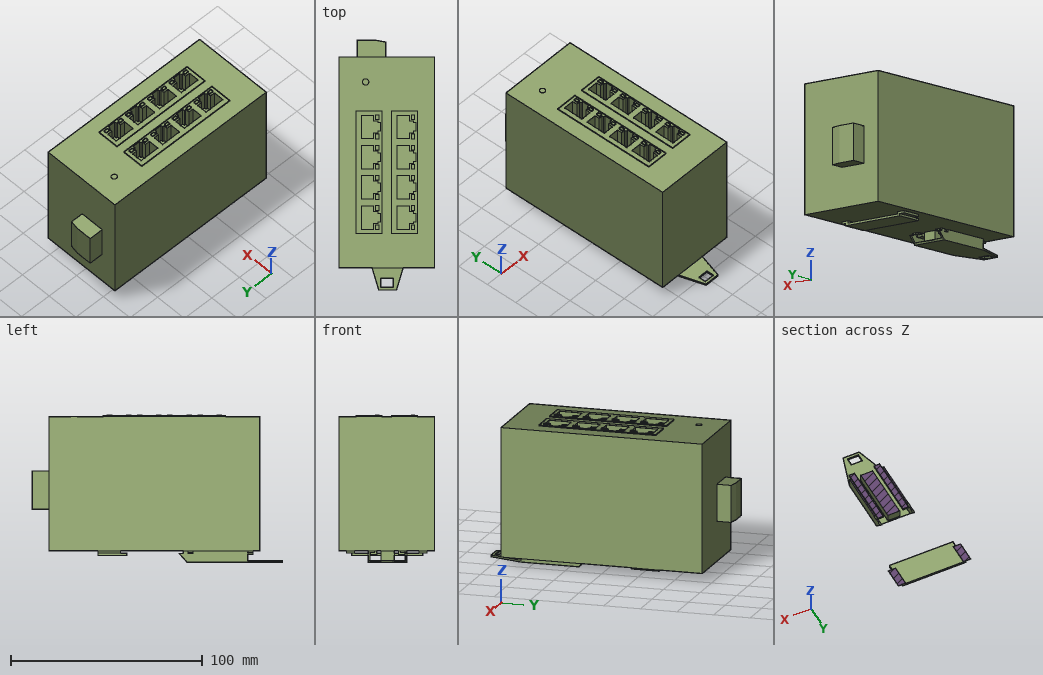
import cadquery as cq

body_width = 50.0
body_length = 110.0
overall_length = 130.42
body_height = 70.0
rear_y = body_length / 2

panel_width = 13.4
panel_length = 63.9
panel_height = 0.5
panel_pitch = 18.6
panel_center_y = -5.2
port_count = 4
port_pitch = 15.75
port_depth = 12.0
port_left = -3.85
port_shoulder = 2.45
port_step = 4.75
port_right = 5.95
port_half_length = 6.1
latch_half_length = 3.2
latch_tip_half_length = 2.2
lamp_width = 1.7
lamp_length = 2.4
lamp_height = 1.0
lamp_x = 4.35
lamp_offset_y = 5.0

indicator_x = -11.0
indicator_y = 41.9
indicator_diameter = 3.3
indicator_height = 0.1

connector_left = -15.5
connector_width = 15.0
connector_flat_width = 9.4
connector_depth = 8.75
connector_slope_drop = 1.0
connector_bottom = 21.7
connector_height = 20.0

sheet = 1.2
hook_back_y = 29.5
hook_foot_front_y = 17.6
hook_lip_front_y = 14.4
hook_plate_left = -18.3
hook_plate_right = 18.8
hook_foot_outer = 21.1
hook_foot_width = 4.3

clip_center_x = 0.45
clip_width = 20.2
clip_height = 6.0
clip_sheet = 1.0
clip_front_y = -48.7
clip_nose_y = -12.9
clip_top_y = -15.0
clip_base_y = -17.0
clip_nose_z = -1.4
clip_flange_width = 3.3
clip_flange_sheet = 0.7
notch_back_y = -17.6
notch_length = 2.5
notch_height = 1.3

guide_front_y = -51.5
guide_height = 1.8
guide_outer = 9.0
guide_inner = 5.6
guide_leg_width = 1.2

block_width = 7.1

tab_end_y = rear_y + connector_depth - overall_length
tab_end_width = 9.3
slot_width = 6.3
slot_offset_x = -0.3
slot_front_y = -65.1
slot_back_y = -60.5


def box(x_range, y_range, z_range):
    """Axis-aligned block between the given limits."""
    (x0, x1), (y0, y1), (z0, z1) = x_range, y_range, z_range
    return cq.Workplane("XY").box(x1 - x0, y1 - y0, z1 - z0, centered=False).translate((x0, y0, z0))


def make_body():
    body = cq.Workplane("XY").box(body_width, body_length, body_height, centered=(True, True, False))
    indicator = (
        cq.Workplane("XY", origin=(indicator_x, indicator_y, body_height))
        .circle(indicator_diameter / 2)
        .extrude(indicator_height)
    )
    return body.union(indicator)


def make_port_opening(panel_x, port_y):
    top = body_height + panel_height
    outline = [
        (port_left, port_half_length),
        (port_shoulder, port_half_length),
        (port_shoulder, latch_half_length),
        (port_step, latch_half_length),
        (port_step, latch_tip_half_length),
        (port_right, latch_tip_half_length),
    ]
    mirrored = [(x, -y) for x, y in reversed(outline)]
    return (
        cq.Workplane("XY", origin=(panel_x, port_y, top))
        .polyline(outline + mirrored)
        .close()
        .extrude(-port_depth)
    )


def make_lamp(panel_x, lamp_y):
    return (
        cq.Workplane("XY", origin=(panel_x + lamp_x, lamp_y, body_height))
        .rect(lamp_width, lamp_length)
        .extrude(lamp_height)
    )


def add_socket_panel(part, panel_x):
    panel = (
        cq.Workplane("XY", origin=(panel_x, panel_center_y, body_height))
        .rect(panel_width, panel_length)
        .extrude(panel_height)
    )
    part = part.union(panel)
    for index in range(port_count):
        port_y = panel_center_y + (index - (port_count - 1) / 2) * port_pitch
        part = part.cut(make_port_opening(panel_x, port_y))
        for side in (-1, 1):
            part = part.union(make_lamp(panel_x, port_y + side * lamp_offset_y))
    return part


def make_connector():
    left = connector_left
    right = left + connector_width
    back = rear_y + connector_depth
    return (
        cq.Workplane("XY", origin=(0, 0, connector_bottom))
        .moveTo(left, rear_y)
        .lineTo(left, back)
        .lineTo(left + connector_flat_width, back)
        .lineTo(right, back - connector_slope_drop)
        .lineTo(right, rear_y)
        .close()
        .extrude(connector_height)
    )


def make_hook():
    hook = box((hook_plate_left, hook_plate_right), (hook_lip_front_y, hook_back_y), (-2 * sheet, -sheet))
    foot_inner = hook_foot_outer - hook_foot_width
    for x_range in ((-hook_foot_outer, -foot_inner), (foot_inner, hook_foot_outer)):
        hook = hook.union(box(x_range, (hook_foot_front_y, hook_back_y), (-sheet, 0)))
    return hook


def make_clip_channel():
    """Channel open at both ends, with a hooked nose and inward top flanges."""
    outer = clip_width / 2
    inner = outer - clip_sheet
    profile = [
        (clip_front_y, 0),
        (clip_top_y, 0),
        (clip_top_y, -sheet),
        (clip_nose_y, clip_nose_z),
        (clip_base_y, -clip_height),
        (clip_front_y, -clip_height),
    ]
    channel = cq.Workplane("YZ").polyline(profile).close().extrude(outer, both=True)
    full_length = (clip_front_y, clip_nose_y)
    channel = channel.cut(box((-inner, inner), full_length, (clip_sheet - clip_height, -clip_flange_sheet)))
    opening = inner - clip_flange_width
    channel = channel.cut(box((-opening, opening), full_length, (-clip_flange_sheet, 0)))
    notch_y = (notch_back_y - notch_length, notch_back_y)
    for x_range in ((-outer, -inner), (inner, outer)):
        channel = channel.cut(box(x_range, notch_y, (-notch_height, 0)))
    return channel


def make_guides():
    y_range = (guide_front_y, notch_back_y)
    leg = box((guide_inner, guide_inner + guide_leg_width), y_range, (-guide_height, 0))
    foot = box((guide_inner, guide_outer), y_range, (-guide_height, -clip_flange_sheet))
    guide = leg.union(foot)
    return guide.union(guide.mirror("YZ"))


def make_pull_tab():
    tab = (
        cq.Workplane("XY", origin=(0, 0, -clip_height))
        .moveTo(-clip_width / 2, clip_front_y)
        .lineTo(-tab_end_width / 2, tab_end_y)
        .lineTo(tab_end_width / 2, tab_end_y)
        .lineTo(clip_width / 2, clip_front_y)
        .close()
        .extrude(clip_sheet)
    )
    half_slot = slot_width / 2
    slot_x = (slot_offset_x - half_slot, slot_offset_x + half_slot)
    slot = box(slot_x, (slot_front_y, slot_back_y), (-clip_height, clip_sheet - clip_height))
    return tab.cut(slot)


def make_clip():
    half_block = block_width / 2
    block = box((-half_block, half_block), (clip_front_y, clip_base_y), (-clip_height, 0))
    clip = make_clip_channel().union(make_guides()).union(block).union(make_pull_tab())
    return clip.translate((clip_center_x, 0, 0))


result = make_body()
for panel_side in (-1, 1):
    result = add_socket_panel(result, panel_side * panel_pitch / 2)
result = result.union(make_connector()).union(make_hook()).union(make_clip())